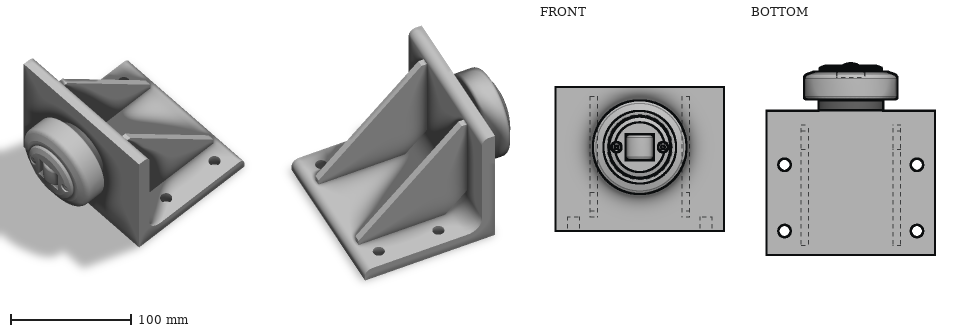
import cadquery as cq

width = 140.0
leg = 120.0
thickness = 12.0
root_radius = 13.0
toe_radius = 6.5

hole_diameter = 10.0
hole_spacing_x = 110.0
hole_spacing_y = 55.0
hole_toe_offset = 20.0

rib_thickness = 6.0
rib_outer_span = 82.6
rib_toe_offset = 8.0
rib_end_height = 5.0
rib_corner_cut = 20.1

overall_depth = 159.5
axis_drop = 50.1
axis_height = leg - axis_drop
reach = overall_depth - leg

neck_diameter = 54.0
neck_chamfer = 1.0
neck_base_chamfer = 0.5

wheel_diameter = 78.0
wheel_crown = 0.2
wheel_back = 9.3
wheel_front = 32.7
wheel_back_fillet = 2.4
wheel_front_fillet = 4.0
wheel_face_diameter = 60.5
wheel_cone_depth = 29.3
selection_margin = 0.2

cap_diameter = 52.0
cap_edge_diameter = 50.7
cap_face_diameter = 41.5
cap_back_chamfer_depth = 33.3
cap_rim_depth = 34.6
cap_edge_depth = 35.7
cap_face_depth = 37.6

window_width = 24.0
window_height = 21.9
roller_radius = window_width / 2
roller_height = 21.0
roller_fillet = 2.5
roller_crown = 0.3

screw_spacing = 38.6
screw_bore_diameter = 8.6
screw_bore_depth = 2.0
screw_head_diameter = 7.8
screw_head_recess = 1.3
socket_diameter = 3.0
socket_depth = 0.5


def make_angle():
    profile = [
        (0, 0),
        (leg, 0),
        (leg, thickness),
        (thickness, thickness),
        (thickness, leg),
        (0, leg),
    ]
    angle = cq.Workplane("YZ").polyline(profile).close().extrude(width / 2, both=True)

    def fillet_edge(body, y, z, radius):
        return body.edges(cq.selectors.NearestToPointSelector((0, y, z))).fillet(radius)

    angle = fillet_edge(angle, thickness, thickness, root_radius)
    angle = fillet_edge(angle, leg, thickness, toe_radius)
    angle = fillet_edge(angle, thickness, leg, toe_radius)
    holes = (
        cq.Workplane("XY", origin=(0, leg - hole_toe_offset - hole_spacing_y / 2, 0))
        .rarray(hole_spacing_x, hole_spacing_y, 2, 2)
        .circle(hole_diameter / 2)
        .extrude(thickness)
    )
    return angle.cut(holes)


def make_rib(side):
    far = leg - rib_toe_offset
    step = thickness + rib_end_height
    cut = thickness + rib_corner_cut
    profile = [
        (cut, thickness),
        (far, thickness),
        (far, step),
        (step, far),
        (thickness, far),
        (thickness, cut),
    ]
    centre_x = side * (rib_outer_span - rib_thickness) / 2
    return (
        cq.Workplane("YZ", origin=(centre_x, 0, 0))
        .polyline(profile)
        .close()
        .extrude(rib_thickness / 2, both=True)
    )


def revolve_about_axis(points):
    """Revolve (radius, depth) points around the wheel axis."""
    profile = [(radius, -depth) for radius, depth in points]
    return cq.Workplane("XY", origin=(0, 0, axis_height)).polyline(profile).close().revolve()


def make_neck():
    radius = neck_diameter / 2
    return revolve_about_axis(
        [
            (0, 0),
            (radius - neck_base_chamfer, 0),
            (radius, neck_base_chamfer),
            (radius, wheel_back - neck_chamfer),
            (radius - neck_chamfer, wheel_back),
            (0, wheel_back),
        ]
    )


def make_wheel():
    radius = wheel_diameter / 2
    edge_radius = radius - wheel_crown
    middle = (wheel_back + wheel_cone_depth) / 2
    wheel = (
        cq.Workplane("XY", origin=(0, 0, axis_height))
        .moveTo(0, -wheel_back)
        .lineTo(edge_radius, -wheel_back)
        .threePointArc((radius, -middle), (edge_radius, -wheel_cone_depth))
        .lineTo(wheel_face_diameter / 2, -wheel_front)
        .lineTo(0, -wheel_front)
        .close()
        .revolve()
    )

    def fillet_rim(body, depth, fillet_radius):
        rim = cq.selectors.BoxSelector(
            (-radius, -depth - selection_margin, axis_height - radius),
            (radius, -depth + selection_margin, axis_height + radius),
            boundingbox=True,
        )
        return body.edges(rim).edges("%CIRCLE").fillet(fillet_radius)

    wheel = fillet_rim(wheel, wheel_back, wheel_back_fillet)
    return fillet_rim(wheel, wheel_cone_depth, wheel_front_fillet)


def make_cap():
    return revolve_about_axis(
        [
            (0, wheel_front),
            (cap_edge_diameter / 2, wheel_front),
            (cap_diameter / 2, cap_back_chamfer_depth),
            (cap_diameter / 2, cap_rim_depth),
            (cap_edge_diameter / 2, cap_edge_depth),
            (cap_face_diameter / 2, cap_face_depth),
            (0, cap_face_depth),
        ]
    )


def make_window():
    """Pocket reaching back to the side roller's axis."""
    floor_depth = reach - roller_radius
    return (
        cq.Workplane("XZ", origin=(0, -floor_depth, axis_height))
        .rect(window_width, window_height)
        .extrude(cap_face_depth - floor_depth)
    )


def make_roller():
    edge_radius = roller_radius - roller_crown
    half = roller_height / 2
    return (
        cq.Workplane("XZ", origin=(0, roller_radius - reach, axis_height))
        .moveTo(0, -half)
        .lineTo(edge_radius, -half)
        .threePointArc((roller_radius, 0), (edge_radius, half))
        .lineTo(0, half)
        .close()
        .revolve()
        .edges("%CIRCLE")
        .fillet(roller_fillet)
    )


def screw_cylinders(diameter, start_depth, end_depth):
    """A pair of cylinders on the screw axes between two depths."""
    return (
        cq.Workplane("XZ", origin=(0, -start_depth, axis_height))
        .rarray(screw_spacing, 1.6, 2, 1)
        .circle(diameter / 2)
        .extrude(end_depth - start_depth)
    )


def add_screws(body):
    bore_floor = cap_face_depth - screw_bore_depth
    head_top = cap_face_depth - screw_head_recess
    body = body.cut(screw_cylinders(screw_bore_diameter, bore_floor, cap_face_depth))
    body = body.union(screw_cylinders(screw_head_diameter, bore_floor, head_top))
    return body.cut(screw_cylinders(socket_diameter, head_top - socket_depth, head_top))


bracket = make_angle()
for side in (-1, 1):
    bracket = bracket.union(make_rib(side))

wheel_unit = make_neck().union(make_wheel()).union(make_cap())
wheel_unit = add_screws(wheel_unit.cut(make_window()).union(make_roller()))

result = bracket.union(wheel_unit)